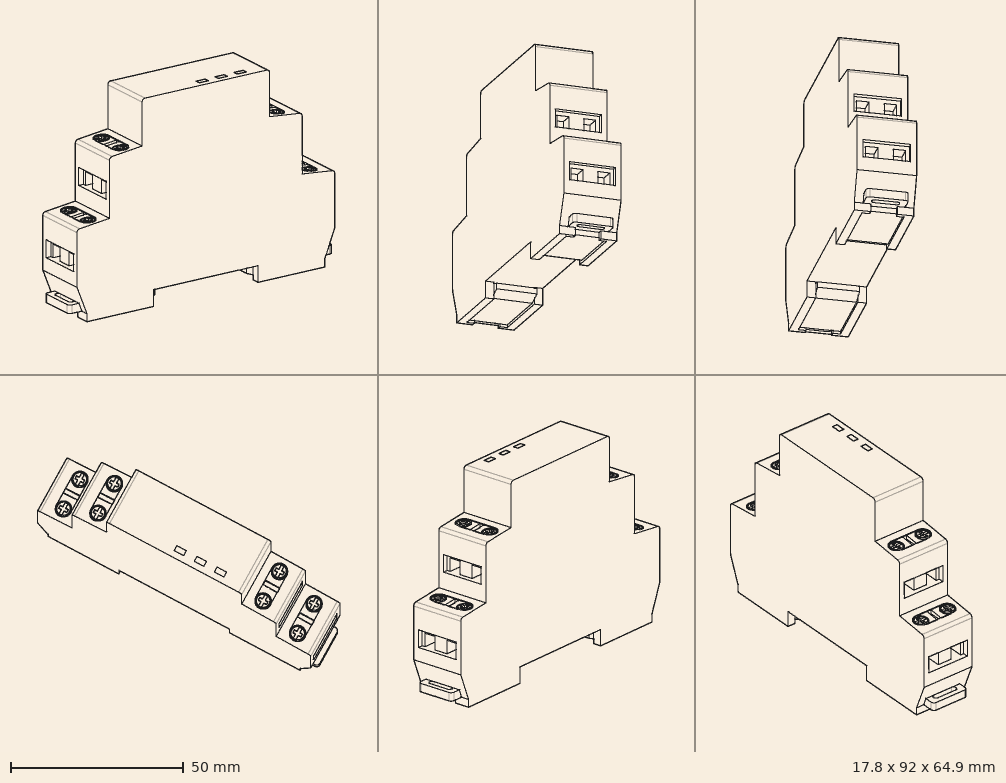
import cadquery as cq
import math

width = 17.8
body_half_length = 45.0
total_height = 64.9
lamp_height = 0.1
body_top = total_height - lamp_height
tier_step_y = 11.36
tier_step_z = 20.0
top_half_length = body_half_length - 2 * tier_step_y
shoulder_radius = 1.0
pick_margin = 0.1

shelf_inner_z = 30.3
shelf_drop = 1.2
shelf_angle = math.atan2(shelf_drop, tier_step_y)

foot_half_length = 41.5
foot_face_height = 2.5
chamfer_top_z = 11.3
rail_half_gap = 18.2
rail_recess_height = 5.15

slot_inset = 6.4
slot_radius = 2.4
slot_depth = 0.3
screw_x = 5.0
screw_well_depth = 0.9
screw_head_radius = 2.2
screw_head_chamfer = 0.3
screw_head_drop = 0.1
cross_slot_length = 3.9
cross_arm_length = 2.7
cross_width = 0.9
cross_depth = 0.7
groove_width = 1.5
groove_depth = 1.4

window_width = 14.2
window_height = 5.5
window_bottom_z = 15.6
window_depth = 1.7
pocket_width = 3.7
pocket_height = 4.2
pocket_x = 4.1
pocket_depth = 4.6

lamp_width = 1.7
lamp_length = 3.1
lamp_x = 6.2
lamp_pitch = 6.6
lamp_first_y = 0.55
lamp_count = 3

clip_end = 46.0
clip_width = 12.5
handle_radius = 1.0
handle_hole_width = 8.3
handle_bar = 1.7
handle_hole_length = 1.8
handle_hole_radius = 0.8
slide_bottom_z = 0.8
foot_notch_width = 7.9
foot_wall = 1.5
slide_start_y = -foot_half_length + foot_wall
tip_y = 16.0
tip_start_y = 20.0
tip_bottom_z = 2.4
tip_top_z = 4.1

ENDS = (-1, 1)
TIERS = (0, 1)
SCREW_SPOTS = [(-screw_x, 0), (screw_x, 0)]


def box(x_size, y_range, z_range, x_centre=0.0):
    """Box centred on x_centre that fills the given Y and Z ranges."""
    return cq.Workplane("XY").box(
        x_size, y_range[1] - y_range[0], z_range[1] - z_range[0], centered=(True, False, False)
    ).translate((x_centre, y_range[0], z_range[0]))


def at_end(shape, end):
    """Move a shape made for the -Y end to the chosen end."""
    return shape if end < 0 else shape.mirror("XZ")


def tier_wall_y(tier):
    """End wall of a tier, at the -Y end."""
    return -body_half_length + tier * tier_step_y


def shelf_outer_z(tier):
    """Height of the shelf's slope where it reaches the end wall."""
    return shelf_inner_z - shelf_drop + tier * tier_step_z


def shelf_z(tier):
    """Height of the shelf's slope at the slot's centre line."""
    return shelf_outer_z(tier) + shelf_drop * slot_inset / tier_step_y


def body_block():
    """Stepped side outline through the whole width, with rounded shoulders."""
    half = [
        (rail_half_gap, rail_recess_height),
        (rail_half_gap, 0),
        (foot_half_length, 0),
        (foot_half_length, foot_face_height),
        (body_half_length, chamfer_top_z),
    ]
    for tier in TIERS:
        wall = -tier_wall_y(tier)
        half += [(wall, shelf_outer_z(tier)), (wall - tier_step_y, shelf_outer_z(tier) + shelf_drop)]
    half.append((top_half_length, body_top))
    outline = half + [(-y, z) for y, z in reversed(half)]
    block = cq.Workplane("YZ").polyline(outline).close().extrude(width / 2, both=True)

    shoulders = [(-tier_wall_y(tier), shelf_outer_z(tier)) for tier in TIERS]
    shoulders.append((top_half_length, body_top))
    for wall, z in shoulders:
        for end in ENDS:
            low = (-width, end * wall - pick_margin, z - pick_margin)
            high = (width, end * wall + pick_margin, z + pick_margin)
            block = block.edges(cq.selectors.BoxSelector(low, high)).fillet(shoulder_radius)
    return block


def slot_plane(tier):
    """Plane on the shelf, centred on the slot."""
    return cq.Plane(
        origin=(0, tier_wall_y(tier) + slot_inset, shelf_z(tier)),
        xDir=(1, 0, 0),
        normal=(0, -math.sin(shelf_angle), math.cos(shelf_angle)),
    )


def slot_cut(tier):
    """Stadium-shaped slot, the groove across it and a well around each screw."""
    centre_y = tier_wall_y(tier) + slot_inset
    surface = shelf_z(tier)
    cut = cq.Workplane(slot_plane(tier)).slot2D(2 * (screw_x + slot_radius), 2 * slot_radius).extrude(-slot_depth)
    groove = box(
        groove_width,
        (centre_y - slot_radius, centre_y + slot_radius),
        (surface - groove_depth, surface),
    )
    wells = (
        cq.Workplane("XY", origin=(0, centre_y, surface - screw_well_depth))
        .pushPoints(SCREW_SPOTS)
        .circle(slot_radius)
        .extrude(screw_well_depth)
    )
    return cut.union(groove).union(wells)


def screw_heads(tier):
    """Pair of horizontal screw heads with chamfered rims and cross slots."""
    centre_y = tier_wall_y(tier) + slot_inset
    top = shelf_z(tier) - screw_head_drop
    bottom = shelf_z(tier) - screw_well_depth
    heads = (
        cq.Workplane("XY", origin=(0, centre_y, bottom))
        .pushPoints(SCREW_SPOTS)
        .circle(screw_head_radius)
        .extrude(top - bottom)
    )
    heads = heads.faces(">Z").chamfer(screw_head_chamfer)
    for size in ((cross_slot_length, cross_width), (cross_width, cross_arm_length)):
        arm = cq.Workplane("XY", origin=(0, centre_y, top)).pushPoints(SCREW_SPOTS).rect(*size).extrude(-cross_depth)
        heads = heads.cut(arm)
    return heads


def window_cut(tier):
    """Wire entry window with two deeper pockets behind it."""
    wall = tier_wall_y(tier)
    bottom = window_bottom_z + tier * tier_step_z
    cut = box(window_width, (wall, wall + window_depth), (bottom, bottom + window_height))
    for side in (-1, 1):
        pocket = box(
            pocket_width,
            (wall, wall + window_depth + pocket_depth),
            (bottom, bottom + pocket_height),
            side * pocket_x,
        )
        cut = cut.union(pocket)
    return cut


def clip_seat():
    """Channel for the clip, open below, with a foot wall that is notched below the handle."""
    channel = box(clip_width, (slide_start_y, -rail_half_gap), (0, rail_recess_height))
    handle_opening = box(clip_width, (-clip_end, slide_start_y), (foot_face_height, rail_recess_height))
    notch = box(foot_notch_width, (-foot_half_length, slide_start_y), (0, foot_face_height))
    return channel.union(handle_opening).union(notch)


def lamps():
    """Row of low raised indicator lamps."""
    spots = [(lamp_x, lamp_first_y + i * lamp_pitch) for i in range(lamp_count)]
    plane = cq.Workplane("XY", origin=(0, 0, body_top))
    return plane.pushPoints(spots).rect(lamp_width, lamp_length).extrude(lamp_height)


def make_housing():
    """Stepped body with its lamps, terminals and clip channels."""
    housing = body_block().union(lamps())
    for end in ENDS:
        housing = housing.cut(at_end(clip_seat(), end))
        for tier in TIERS:
            housing = housing.cut(at_end(slot_cut(tier), end))
            housing = housing.cut(at_end(window_cut(tier), end))
            housing = housing.union(at_end(screw_heads(tier), end))
    return housing


def make_clip(end):
    """Slide with a tapered tip that grips the rail, and a handle with a finger hole."""
    slide = (
        cq.Workplane("YZ")
        .polyline([
            (slide_start_y, slide_bottom_z),
            (-tip_start_y, slide_bottom_z),
            (-tip_y, tip_bottom_z),
            (-tip_y, tip_top_z),
            (-tip_start_y, rail_recess_height),
            (slide_start_y, rail_recess_height),
        ])
        .close()
        .extrude(clip_width / 2, both=True)
    )
    handle = box(clip_width, (-clip_end, slide_start_y), (foot_face_height, rail_recess_height))
    handle = handle.edges("|Z and <Y").fillet(handle_radius)
    hole_start = -clip_end + handle_bar
    hole = box(
        handle_hole_width,
        (hole_start, hole_start + handle_hole_length),
        (foot_face_height, rail_recess_height),
    )
    hole = hole.edges("|Z").fillet(handle_hole_radius)
    return at_end(slide.union(handle.cut(hole)), end)


housing = make_housing()
clips = [make_clip(end) for end in ENDS]
result = cq.Compound.makeCompound([housing.val(), *[clip.val() for clip in clips]])